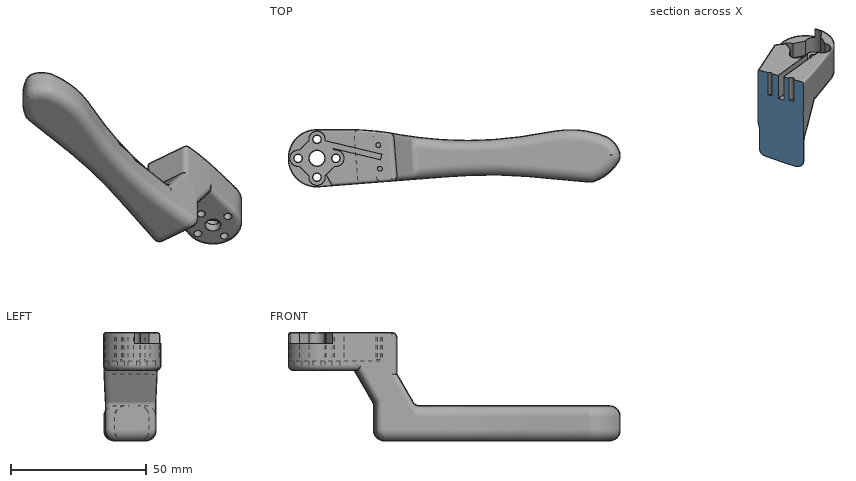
import cadquery as cq
import math

TOTAL_HEIGHT = 40.0
HEAD_UNDERSIDE = 26.0
GRIP_TOP = 13.0
HEAD_RADIUS = 10.6

STRAIGHT_END = (11.7, HEAD_RADIUS)
SHOULDER_END = (30.7, 8.7)
WAIST_BACK = (53.5, 6.6)
SWELL_START = (75.0, 7.95)
SWELL_END = (88.0, 10.1)
TIP_BACK = (107.0, 7.9)
TIP_BACK_MIDDLE = (110.4, 4.9)
TIP_POINT = (112.17, 0.3)

TIP_FRONT_MIDDLE = (107.9, -5.3)
TIP_FRONT = (101.3, -8.9)
WAIST_FRONT_END = (77.7, -6.75)
WAIST_FRONT = (62.9, -6.2)
WAIST_FRONT_START = (48.0, -6.86)

PROFILE_TURN = 4.5
UNDERSIDE_CORNER = 14.35
LEG_FACE = 21.35
WALL_FACE = 28.95
WALL_FOOT = 24.7
SLOPE_ANGLE = 60.0
WEB_FOOT = 7.0

PROFILE_START = -15.0
PROFILE_END = 120.0
PROFILE_HALF_WIDTH = 30.0

GRIP_FILLET = 4.0
TIP_CORNER_FILLET = 4.2
WEB_FILLET = 2.0
HEAD_UNDERSIDE_FILLET = 2.0
HEAD_TOP_FILLET = 1.0
LEG_CREASE_FILLET = 2.0
WEB_CREASE_FILLET = 3.0

RECESS_FLOOR = 29.5
SHAFT_DIAMETER = 5.8
SCREW_OFFSET = 7.0
SCREW_DIAMETER = 3.0
HORN_ARM_WIDTH = 6.0
HORN_DIAMOND_REACH = 9.5

RIM_FLOOR = 36.0
RIM_CUT_LEVEL = -0.84
RIM_CUT_START = (3.3, -6.0)
RIM_CUT_END = (5.95, -HEAD_RADIUS)

SLOT_START = (3.0, 5.4)
SLOT_END = (23.7, 0.47)
SLOT_WIDTH = 2.1
PILOT_DIAMETER = 1.8
PILOT_DEPTH = 10.0
PILOT_CENTRES = [(22.6, 4.85), (23.2, -3.85)]

LEVEL_TOLERANCE = 0.1
STEEP_RISE = 0.5
SHORTEST_WALL_EDGE = 1.0
CROSSING_SPAN = HEAD_RADIUS / 2
LEG_RANGE = (12.0, 23.0)
WALL_RANGE = (27.0, 40.0)
TIP_RANGE = (100.0, PROFILE_END)


def plan_prism():
    """Full-height prism of the outline: round head, waisted grip and pointed tip."""
    return (
        cq.Workplane("XY")
        .moveTo(0, -HEAD_RADIUS)
        .threePointArc((-HEAD_RADIUS, 0), (0, HEAD_RADIUS))
        .lineTo(*STRAIGHT_END)
        .tangentArcPoint(SHOULDER_END, relative=False)
        .threePointArc(WAIST_BACK, SWELL_START)
        .lineTo(*SWELL_END)
        .tangentArcPoint(TIP_BACK, relative=False)
        .threePointArc(TIP_BACK_MIDDLE, TIP_POINT)
        .threePointArc(TIP_FRONT_MIDDLE, TIP_FRONT)
        .lineTo(*WAIST_FRONT_END)
        .threePointArc(WAIST_FRONT, WAIST_FRONT_START)
        .close()
        .extrude(TOTAL_HEIGHT)
    )


def swept_profile(points):
    """Side profile swept straight across the arm, turned to suit the tapered sides."""
    return (
        cq.Workplane("XZ")
        .polyline(points)
        .close()
        .extrude(PROFILE_HALF_WIDTH, both=True)
        .rotate((0, 0, 0), (0, 0, 1), PROFILE_TURN)
    )


def zone(x_range, z_from, z_to):
    """Selector for items whose centre lies in a band of X and Z."""
    return cq.selectors.BoxSelector(
        (x_range[0], -PROFILE_HALF_WIDTH, z_from),
        (x_range[1], PROFILE_HALF_WIDTH, z_to),
    )


def at_level(x_range, level):
    """Selector for items whose centre lies at one Z level."""
    return zone(x_range, level - LEVEL_TOLERANCE, level + LEVEL_TOLERANCE)


def is_steep(edge):
    """True for an edge that climbs instead of lying level."""
    return abs(edge.startPoint().z - edge.endPoint().z) > STEEP_RISE


def crosses_arm(edge):
    """True for an edge that runs from one side of the arm towards the other."""
    return abs(edge.startPoint().y - edge.endPoint().y) > CROSSING_SPAN


def is_underside_rim(edge):
    """True for the outer rim of the head underside, false for the crease at the leg."""
    return edge.geomType() == "CIRCLE" or not crosses_arm(edge)


def is_wall_edge(edge):
    """True for the wall's top edge or a side edge of the wall or web."""
    if is_steep(edge):
        is_seam = abs(edge.Center().x - SHOULDER_END[0]) < LEVEL_TOLERANCE
        return edge.Length() > SHORTEST_WALL_EDGE and not is_seam
    return crosses_arm(edge) and edge.Center().z > TOTAL_HEIGHT - LEVEL_TOLERANCE


def grip():
    """Grip bar with rounded corners at both ends and all its long edges rounded."""
    bar_profile = [
        (LEG_FACE, 0),
        (PROFILE_END, 0),
        (PROFILE_END, GRIP_TOP),
        (LEG_FACE, GRIP_TOP),
    ]
    bar = plan_prism().intersect(swept_profile(bar_profile))
    bar = bar.edges("|Z").edges(zone(TIP_RANGE, 0, GRIP_TOP)).fillet(TIP_CORNER_FILLET)
    bar = bar.edges("|Z").edges(zone(LEG_RANGE, 0, GRIP_TOP)).fillet(WEB_FILLET)
    bar = bar.faces("<Z").edges().fillet(GRIP_FILLET)
    return bar.faces(">Z").edges().fillet(GRIP_FILLET)


def crank():
    """Head, leaning web and leg, with the web foot buried inside the grip."""
    slope = math.tan(math.radians(SLOPE_ANGLE))
    crease_level = HEAD_UNDERSIDE - (LEG_FACE - UNDERSIDE_CORNER) * slope
    web_toe = WALL_FACE + (WALL_FOOT - WEB_FOOT) / slope
    profile = [
        (PROFILE_START, TOTAL_HEIGHT),
        (WALL_FACE, TOTAL_HEIGHT),
        (WALL_FACE, WALL_FOOT),
        (web_toe, WEB_FOOT),
        (LEG_FACE, WEB_FOOT),
        (LEG_FACE, crease_level),
        (UNDERSIDE_CORNER, HEAD_UNDERSIDE),
        (PROFILE_START, HEAD_UNDERSIDE),
    ]
    body = plan_prism().intersect(swept_profile(profile))

    head_range = (PROFILE_START, UNDERSIDE_CORNER)
    underside = body.faces(at_level(head_range, HEAD_UNDERSIDE))
    body = underside.edges().filter(is_underside_rim).fillet(HEAD_UNDERSIDE_FILLET)

    leg_crease = body.edges(at_level(LEG_RANGE, crease_level)).filter(crosses_arm)
    body = leg_crease.fillet(LEG_CREASE_FILLET)

    leg_edges = body.edges(zone(LEG_RANGE, WEB_FOOT, HEAD_UNDERSIDE)).filter(is_steep)
    body = leg_edges.fillet(WEB_FILLET)

    wall_zone = zone(WALL_RANGE, WEB_FOOT, TOTAL_HEIGHT + LEVEL_TOLERANCE)
    body = body.edges(wall_zone).filter(is_wall_edge).fillet(WEB_FILLET)

    return body.faces(">Z").edges().fillet(HEAD_TOP_FILLET)


def blended_body():
    """Grip and crank joined, with a fillet where the web lands on the grip."""
    body = crank().union(grip())
    web_crease = body.edges(at_level(WALL_RANGE, GRIP_TOP)).filter(crosses_arm)
    return web_crease.fillet(WEB_CREASE_FILLET)


def horn_recess():
    """Four-armed horn recess with round arm ends and a diamond centre."""
    depth = TOTAL_HEIGHT - RECESS_FLOOR
    arm_length = 2 * SCREW_OFFSET + HORN_ARM_WIDTH
    plane = cq.Workplane("XY").workplane(offset=RECESS_FLOOR)
    diamond_side = HORN_DIAMOND_REACH * math.sqrt(2)
    recess = plane.rect(diamond_side, diamond_side).extrude(depth)
    recess = recess.rotate((0, 0, 0), (0, 0, 1), 45)
    for angle in (0, 90):
        recess = recess.union(plane.slot2D(arm_length, HORN_ARM_WIDTH, angle).extrude(depth))
    return recess


def top_slot():
    """Narrow straight slot from the horn recess towards the wall."""
    run = SLOT_END[0] - SLOT_START[0]
    rise = SLOT_END[1] - SLOT_START[1]
    return (
        cq.Workplane("XY")
        .workplane(offset=RECESS_FLOOR)
        .rect(math.hypot(run, rise), SLOT_WIDTH)
        .extrude(TOTAL_HEIGHT - RECESS_FLOOR)
        .rotate((0, 0, 0), (0, 0, 1), math.degrees(math.atan2(rise, run)))
        .translate((SLOT_START[0] + run / 2, SLOT_START[1] + rise / 2, 0))
    )


def rim_cut():
    """Removes the upper rim of the head on the -Y side, round to the -X arm."""
    outside = 2 * HEAD_RADIUS
    return (
        cq.Workplane("XY")
        .workplane(offset=RIM_FLOOR)
        .moveTo(-outside, RIM_CUT_LEVEL)
        .lineTo(0, RIM_CUT_LEVEL)
        .lineTo(*RIM_CUT_START)
        .lineTo(*RIM_CUT_END)
        .lineTo(RIM_CUT_END[0], -outside)
        .lineTo(-outside, -outside)
        .close()
        .extrude(TOTAL_HEIGHT - RIM_FLOOR)
    )


def vertical_holes(centres, diameter, floor):
    """Round holes opening at the top face and reaching down to the given level."""
    return (
        cq.Workplane("XY")
        .workplane(offset=floor)
        .pushPoints(centres)
        .circle(diameter / 2)
        .extrude(TOTAL_HEIGHT - floor)
    )


SCREW_CENTRES = [(SCREW_OFFSET, 0), (0, SCREW_OFFSET), (-SCREW_OFFSET, 0), (0, -SCREW_OFFSET)]

result = (
    blended_body()
    .cut(horn_recess())
    .cut(top_slot())
    .cut(rim_cut())
    .cut(vertical_holes([(0, 0)], SHAFT_DIAMETER, HEAD_UNDERSIDE))
    .cut(vertical_holes(SCREW_CENTRES, SCREW_DIAMETER, HEAD_UNDERSIDE))
    .cut(vertical_holes(PILOT_CENTRES, PILOT_DIAMETER, TOTAL_HEIGHT - PILOT_DEPTH))
)